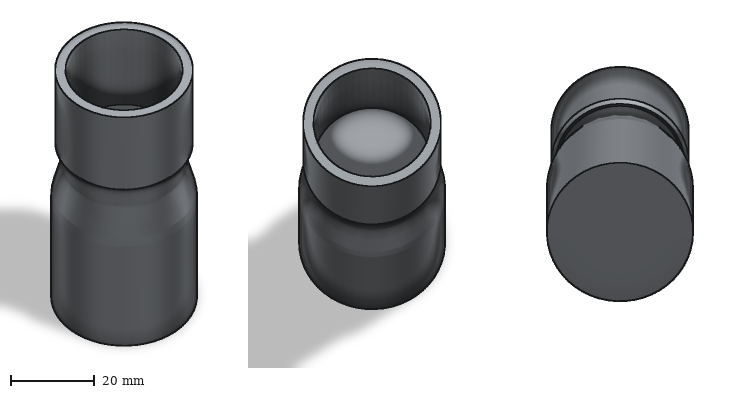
import cadquery as cq

total_height = 74.5
body_top = 32.55
shoulder_top = 35.2
neck_bottom = 43.9
collar_bottom = 49.7

body_radius = 35.0 / 2
neck_radius = 30.0 / 2
collar_radius = 33.0 / 2
bore_radius = 28.0 / 2
shoulder_radius = 34.4 / 2

collar_chamfer = 1.0
shoulder_bulge = 0.1
bore_depth = total_height - collar_bottom


def make_outer_body():
    """Revolve the body, rounded shoulder, tapered waist, neck and collar."""
    shoulder_middle = (
        (body_radius + shoulder_radius) / 2 + shoulder_bulge,
        (body_top + shoulder_top) / 2,
    )
    profile = (
        cq.Workplane("XZ")
        .lineTo(body_radius, 0)
        .lineTo(body_radius, body_top)
        .threePointArc(shoulder_middle, (shoulder_radius, shoulder_top))
        .lineTo(neck_radius, neck_bottom)
        .lineTo(neck_radius, collar_bottom)
        .lineTo(collar_radius - collar_chamfer, collar_bottom)
        .lineTo(collar_radius, collar_bottom + collar_chamfer)
        .lineTo(collar_radius, total_height)
        .lineTo(0, total_height)
        .close()
    )
    return profile.revolve(360, (0, 0, 0), (0, 1, 0))


def make_bore():
    """Blind, flat-bottomed socket opening at the top of the collar."""
    return (
        cq.Workplane("XY")
        .workplane(offset=total_height - bore_depth)
        .circle(bore_radius)
        .extrude(bore_depth)
    )


result = make_outer_body().cut(make_bore())